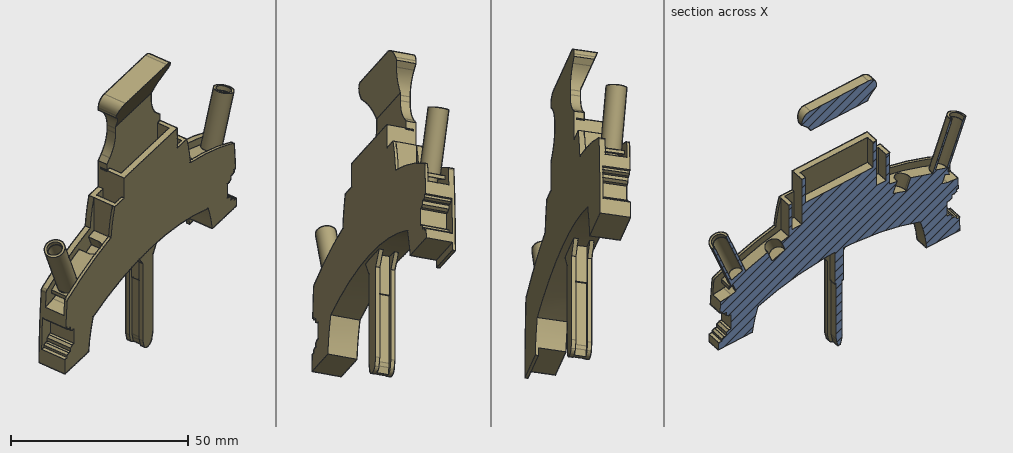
import cadquery as cq
import math

BODY_T = 8.9
CUT_MARGIN = 1.0
LEFT_WALL_T = 1.7
RIGHT_WALL_T = 0.9
POCKET_X0 = LEFT_WALL_T
POCKET_X1 = BODY_T - RIGHT_WALL_T

FOOT_Z = 20.1
FOOT_Y = 42.8
FOOT_INNER_Y = 30.9
ARCH_END_Y = 28.7
ARCH_END_Z = 31.5
ARCH_TOP_Z = 36.9
LEG_INNER_BULGE = 0.34
LEG_OUTER_BULGE = 0.26

DOME_R = 90.0
DOME_TOP_Z = 56.8
DOME_CENTER_Z = DOME_TOP_Z - DOME_R
DOME_END_Y = 41.6
DOME_CORNER_R = 1.0

SHOULDER_Y = 17.9
SHOULDER_Z = 64.7
SHOULDER_FOOT_Y = 19.75
SHOULDER_BULGE = 0.24
BLOCK_Y = 13.3
BLOCK_Z = 72.0

TRIM_X0 = 0.92
TRIM_Z = 22.6

HANDLE_T = 3.0
HANDLE_TOP_Z = 96.8
HANDLE_TOP_T = 7.4
FLARE_Z = 85.2
HANDLE_CORNER_R = 3.0
GRIP_LOW_Z = 74.3
GRIP_HIGH_Z = 92.9
NECK_Y = 8.9
NECK_ARC_R = 10.0
GRIP_ANGLE = 45.0

SEAM_X0 = 0.73
SEAM_H = 0.4
SEAM_DEPTH = 0.6

END_WALL_T = 1.4
SHOULDER_POCKET_DEPTH = 10.1
WINDOW_WALL_T = 1.9
WINDOW_DEPTH = 9.7

SHELF_DROP = 2.4
SHELF_T = 1.1
SHELF_END_Y = 39.0
CAVITY_BACK_Y = 33.3
CAVITY_BACK_Z = 43.0
CAVITY_BEND_Y = 38.2
CAVITY_BEND_Z = 41.4
CAVITY_FRONT_Z = 40.9

SLOT_R = 2.4
SLOT_CENTER_X = 5.0
SLOT_CENTER_Y = 22.9
SLOT_DEPTH = 4.4

TILT = 20.0
TUBE_X = 4.9
TUBE_R = 3.0
TUBE_MOUTH_R = 2.2
TUBE_MOUTH_DEPTH = 1.5
TUBE_BORE_R = 2.1
TUBE_SPAN = 89.9
TUBE_END_Y = TUBE_SPAN / 2 - TUBE_R * math.cos(math.radians(TILT))
TUBE_END_Z = 64.3
TUBE_L = 18.9
TUBE_BORE_DEPTH = 17.4
PLUG_R = 2.4
PLUG_L = 24.2

GROOVE_X0 = 0.92
GROOVE_MID_Z = 31.1
GROOVE_BOTTOM_Y = 38.3
GROOVE_STEPS = [
    (FOOT_Y + CUT_MARGIN, 5.6),
    (41.6, 5.6),
    (41.6, 4.8),
    (40.8, 4.5),
    (40.0, 4.5),
    (40.0, 3.3),
    (39.1, 2.7),
    (GROOVE_BOTTOM_Y, 2.6),
]

PIN_X0 = 2.0
PIN_X1 = 7.9
PIN_FLANGE_T = 1.3
PIN_Y = 2.5
PIN_FLARE_Y = 5.2
PIN_FLARE_Z = 32.3
PIN_TAPER_Z = 3.9
PIN_TIP_Y = 1.9
PIN_TIP_Z = 1.3
PIN_WEB_Y = 1.2
PIN_WEB_TOP_Y = 1.55
PIN_WEB_STEP_Z = 24.6
PIN_WEB_TAPER_Z = 3.3
PIN_WEB_BREAK_Y = 1.0
PIN_WEB_BREAK_Z = 2.0
PIN_WEB_TIP_Y = 0.5


def circle_z(radius, y):
    """Height at y on a circle about the dome centre."""
    return DOME_CENTER_Z + math.sqrt(radius**2 - y**2)


def bulged(start, end, bulge):
    """Point beside the middle of a nearly vertical edge, moved outwards in Y."""
    return ((start[0] + end[0]) / 2 + bulge, (start[1] + end[1]) / 2)


def slab(outline, x0, x1):
    """Extrude a closed YZ outline from x0 to x1."""
    return outline.extrude(x1 - x0).translate((x0, 0, 0))


def box(x0, x1, y0, y1, z0, z1):
    return cq.Workplane("XY").box(x1 - x0, y1 - y0, z1 - z0, centered=False).translate((x0, y0, z0))


def both_sides(solid):
    """The solid together with its mirror image across Y = 0."""
    return solid.union(solid.mirror("XZ"))


def body():
    foot_in = (FOOT_INNER_Y, FOOT_Z)
    foot_out = (FOOT_Y, FOOT_Z)
    arch_end = (ARCH_END_Y, ARCH_END_Z)
    dome_end = (DOME_END_Y, circle_z(DOME_R, DOME_END_Y))
    dome_mid_y = (DOME_END_Y + SHOULDER_FOOT_Y) / 2
    shoulder_foot = (SHOULDER_FOOT_Y, circle_z(DOME_R, SHOULDER_FOOT_Y))
    shoulder_top = (SHOULDER_Y, SHOULDER_Z)
    arch_r = (ARCH_END_Y**2 + (ARCH_TOP_Z - ARCH_END_Z)**2) / (2 * (ARCH_TOP_Z - ARCH_END_Z))
    arch_mid_y = ARCH_END_Y / 2
    arch_mid_z = ARCH_TOP_Z - arch_r + math.sqrt(arch_r**2 - arch_mid_y**2)
    half_outline = (
        cq.Workplane("YZ")
        .moveTo(0, ARCH_TOP_Z)
        .threePointArc((arch_mid_y, arch_mid_z), arch_end)
        .threePointArc(bulged(arch_end, foot_in, LEG_INNER_BULGE), foot_in)
        .lineTo(*foot_out)
        .threePointArc(bulged(foot_out, dome_end, LEG_OUTER_BULGE), dome_end)
        .threePointArc((dome_mid_y, circle_z(DOME_R, dome_mid_y)), shoulder_foot)
        .threePointArc(bulged(shoulder_foot, shoulder_top, SHOULDER_BULGE), shoulder_top)
        .lineTo(BLOCK_Y, SHOULDER_Z)
        .lineTo(BLOCK_Y, BLOCK_Z)
        .lineTo(0, BLOCK_Z)
        .close()
    )
    half = slab(half_outline, 0, BODY_T)
    dome_corner = cq.selectors.NearestToPointSelector((BODY_T / 2, *dome_end))
    return both_sides(half.edges("|X").edges(dome_corner).fillet(DOME_CORNER_R))


def handle():
    angle = math.radians(GRIP_ANGLE)
    arc_y = NECK_Y + NECK_ARC_R * (1 - math.cos(angle))
    mid_y = NECK_Y + NECK_ARC_R * (1 - math.cos(angle / 2))
    slant_h = (BLOCK_Y - arc_y) / math.tan(angle)
    low_z = GRIP_LOW_Z + slant_h
    high_z = GRIP_HIGH_Z - slant_h
    neck_low_z = low_z + NECK_ARC_R * math.sin(angle)
    neck_high_z = high_z - NECK_ARC_R * math.sin(angle)
    mid_drop = NECK_ARC_R * math.sin(angle / 2)
    corner_mid = HANDLE_CORNER_R * (1 - math.sqrt(0.5))
    half_outline = (
        cq.Workplane("YZ")
        .moveTo(0, BLOCK_Z)
        .lineTo(BLOCK_Y, BLOCK_Z)
        .lineTo(BLOCK_Y, GRIP_LOW_Z)
        .lineTo(arc_y, low_z)
        .threePointArc((mid_y, neck_low_z - mid_drop), (NECK_Y, neck_low_z))
        .lineTo(NECK_Y, neck_high_z)
        .threePointArc((mid_y, neck_high_z + mid_drop), (arc_y, high_z))
        .lineTo(BLOCK_Y, GRIP_HIGH_Z)
        .lineTo(BLOCK_Y, HANDLE_TOP_Z - HANDLE_CORNER_R)
        .threePointArc(
            (BLOCK_Y - corner_mid, HANDLE_TOP_Z - corner_mid),
            (BLOCK_Y - HANDLE_CORNER_R, HANDLE_TOP_Z),
        )
        .lineTo(0, HANDLE_TOP_Z)
        .close()
    )
    side_profile = (
        cq.Workplane("XZ")
        .moveTo(0, BLOCK_Z)
        .lineTo(HANDLE_T, BLOCK_Z)
        .lineTo(HANDLE_T, FLARE_Z)
        .lineTo(HANDLE_TOP_T, HANDLE_TOP_Z)
        .lineTo(0, HANDLE_TOP_Z)
        .close()
        .extrude(BLOCK_Y, both=True)
    )
    return both_sides(slab(half_outline, 0, HANDLE_TOP_T)).intersect(side_profile)


def block_window():
    """Hollow in the top of the block, behind the handle plate."""
    y = BLOCK_Y - END_WALL_T
    return box(HANDLE_T, BODY_T - WINDOW_WALL_T, -y, y, BLOCK_Z - WINDOW_DEPTH, BLOCK_Z)


def seam_notch():
    return box(SEAM_X0, HANDLE_T, BLOCK_Y - SEAM_DEPTH, BLOCK_Y, BLOCK_Z - SEAM_H, BLOCK_Z)


def foot_trim():
    return box(TRIM_X0, BODY_T, 0, FOOT_Y, FOOT_Z, TRIM_Z)


def shoulder_pocket():
    bottom_z = SHOULDER_Z - SHOULDER_POCKET_DEPTH
    return box(POCKET_X0, POCKET_X1, BLOCK_Y, SHOULDER_Y - END_WALL_T, bottom_z, SHOULDER_Z)


def shelf_pocket():
    """Room above the curved shelf, with the shoulder side open down to it."""
    mid_y = (SHOULDER_Y + SHELF_END_Y) / 2
    outside_y = FOOT_Y + CUT_MARGIN
    shelf_r = DOME_R - SHELF_DROP
    outline = (
        cq.Workplane("YZ")
        .moveTo(SHOULDER_Y, SHOULDER_Z)
        .lineTo(SHOULDER_Y, circle_z(shelf_r, SHOULDER_Y))
        .threePointArc((mid_y, circle_z(shelf_r, mid_y)), (SHELF_END_Y, circle_z(shelf_r, SHELF_END_Y)))
        .lineTo(outside_y, circle_z(shelf_r, SHELF_END_Y))
        .lineTo(outside_y, SHOULDER_Z)
        .close()
    )
    return slab(outline, POCKET_X0, POCKET_X1)


def end_cavity():
    """Cavity below the shelf, open at the outer end of the body."""
    outside_y = FOOT_Y + CUT_MARGIN
    shelf_r = DOME_R - SHELF_DROP
    under_r = shelf_r - SHELF_T
    mid_y = (CAVITY_BACK_Y + SHELF_END_Y) / 2
    outline = (
        cq.Workplane("YZ")
        .moveTo(CAVITY_BACK_Y, CAVITY_BACK_Z)
        .lineTo(CAVITY_BEND_Y, CAVITY_BEND_Z)
        .lineTo(FOOT_Y, CAVITY_FRONT_Z)
        .lineTo(outside_y, CAVITY_FRONT_Z)
        .lineTo(outside_y, circle_z(shelf_r, SHELF_END_Y))
        .lineTo(SHELF_END_Y, circle_z(shelf_r, SHELF_END_Y))
        .lineTo(SHELF_END_Y, circle_z(under_r, SHELF_END_Y))
        .threePointArc((mid_y, circle_z(under_r, mid_y)), (CAVITY_BACK_Y, circle_z(under_r, CAVITY_BACK_Y)))
        .close()
    )
    return slab(outline, POCKET_X0, POCKET_X1)


def tilted(solid, y, z):
    """Lean a solid built on the Z axis outwards and move its origin to (y, z)."""
    return solid.rotate((0, 0, 0), (1, 0, 0), -TILT).translate((0, y, z))


def shelf_slot():
    """Round-ended slot sunk into the shelf, starting at the left pocket wall."""
    height = 2 * SLOT_DEPTH
    round_end = cq.Workplane("XY").center(SLOT_CENTER_X, 0).circle(SLOT_R).extrude(height)
    straight = box(POCKET_X0, SLOT_CENTER_X, -SLOT_R, SLOT_R, 0, height)
    slot = round_end.union(straight).translate((0, 0, -SLOT_DEPTH))
    return tilted(slot, SLOT_CENTER_Y, circle_z(DOME_R - SHELF_DROP, SLOT_CENTER_Y))


def tube_cylinder(radius, length):
    """Cylinder reaching down along the tube axis from the open tube end."""
    cylinder = cq.Workplane("XY").center(TUBE_X, 0).circle(radius).extrude(-length)
    return tilted(cylinder, TUBE_END_Y, TUBE_END_Z)


def finger_groove():
    lower = [(y, GROOVE_MID_Z - h) for y, h in GROOVE_STEPS]
    upper = [(y, GROOVE_MID_Z + h) for y, h in reversed(GROOVE_STEPS)]
    outline = cq.Workplane("YZ").polyline(lower + upper).close()
    return slab(outline, GROOVE_X0, BODY_T)


def pin():
    tip_r = (PIN_TIP_Y**2 + PIN_TIP_Z**2) / (2 * PIN_TIP_Z)
    tip_mid_y = PIN_TIP_Y / 2
    tip_mid_z = tip_r - math.sqrt(tip_r**2 - tip_mid_y**2)
    half_outline = (
        cq.Workplane("YZ")
        .moveTo(0, ARCH_TOP_Z)
        .lineTo(PIN_FLARE_Y, ARCH_TOP_Z)
        .lineTo(PIN_Y, PIN_FLARE_Z)
        .lineTo(PIN_Y, PIN_TAPER_Z)
        .lineTo(PIN_TIP_Y, PIN_TIP_Z)
        .threePointArc((tip_mid_y, tip_mid_z), (0, 0))
        .close()
    )
    web_side = (
        cq.Workplane("YZ")
        .moveTo(PIN_WEB_TOP_Y, ARCH_TOP_Z)
        .lineTo(PIN_WEB_TOP_Y, PIN_WEB_STEP_Z)
        .lineTo(PIN_WEB_Y, PIN_WEB_STEP_Z)
        .lineTo(PIN_WEB_Y, PIN_WEB_TAPER_Z)
        .lineTo(PIN_WEB_BREAK_Y, PIN_WEB_BREAK_Z)
        .lineTo(PIN_WEB_TIP_Y, 0)
        .lineTo(PIN_FLARE_Y, 0)
        .lineTo(PIN_FLARE_Y, ARCH_TOP_Z)
        .close()
    )
    web_recess = slab(web_side, PIN_X0 + PIN_FLANGE_T, PIN_X1 - PIN_FLANGE_T)
    return both_sides(slab(half_outline, PIN_X0, PIN_X1).cut(web_recess))


result = body().union(handle()).cut(block_window()).cut(foot_trim())
paired_cutters = [
    seam_notch(),
    shoulder_pocket(),
    shelf_pocket(),
    end_cavity(),
    shelf_slot(),
    finger_groove(),
]
for cutter in paired_cutters:
    result = result.cut(both_sides(cutter))

tube = tube_cylinder(TUBE_R, TUBE_L).union(tube_cylinder(PLUG_R, PLUG_L))
result = result.union(both_sides(tube))
bore = tube_cylinder(TUBE_BORE_R, TUBE_BORE_DEPTH).union(tube_cylinder(TUBE_MOUTH_R, TUBE_MOUTH_DEPTH))
result = result.cut(both_sides(bore))
result = result.union(pin())